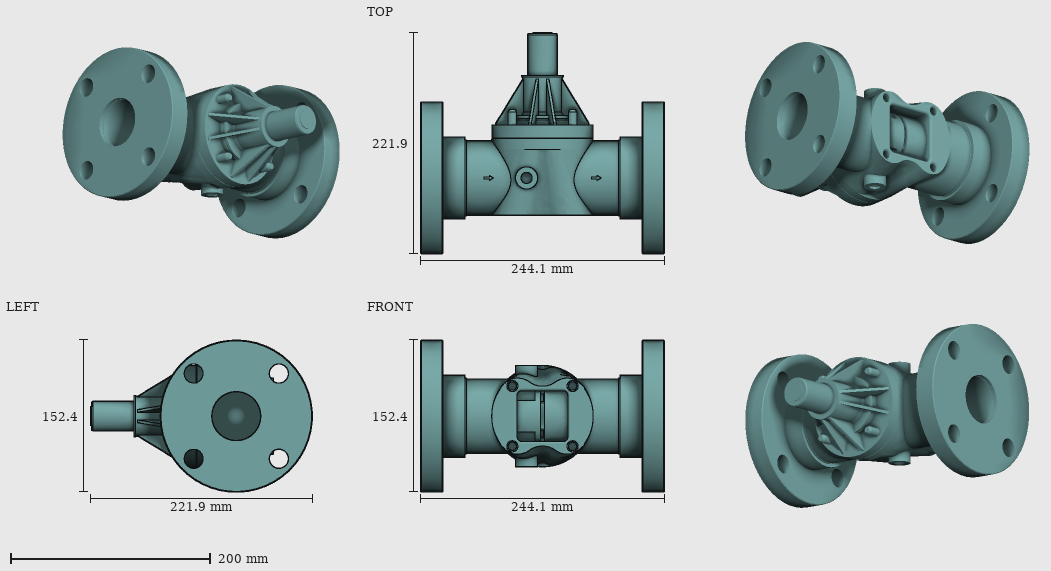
import cadquery as cq
import math


FACE_TO_FACE = 244.09
FLANGE_DIA = 152.4
FLANGE_THICKNESS = 22.35
FLANGE_CHAMFER = 0.8
BOLT_CIRCLE_DIA = 120.65
BOLT_HOLE_DIA = 18.92
BOLT_COUNT = 4
FIRST_BOLT_ANGLE = 45.0
HUB_DIA = 82.4
HUB_LENGTH = 22.0
PIPE_DIA = 74.85
COLLAR_DIA = 76.2
COLLAR_LENGTH = 1.5
MOUTH_DIA = 49.25
MOUTH_DEPTH = 5.2
BORE_DIA = 48.59
BORE_END = 4.0

BODY_DIA = 101.6
PLATE_Y = -PIPE_DIA / 2
DISC_FRONT_Y = 28.6
DISC_JOINT_Y = 39.5
DISC_BACK_Y = 53.2
JOINT_GROOVE_WIDTH = 0.6
JOINT_GROOVE_DEPTH = 0.4
SCREW_OFFSET = 30.16
PLATE_CORNER_RADIUS = 20.0
PLATE_CORNER_TOP_Z = 38.1
NECK_SIDE_END_X = 17.5
NECK_CORNER_Z = 48.9
NECK_WAIST_HALF_WIDTH = 2.0
NECK_WAIST_Z = 46.9
NECK_WAIST_DIP = 0.1
PLATE_WAIST_Z = 29.9
SCREW_HOLE_DIA = 8.38
SCREW_MOUTH_DIA = 11.11
SCREW_HOLE_DEPTH = 14.0
SCREW_MOUTH_TAPER = 45.0

WINDOW_SIZE = 50.8
WINDOW_CORNER_RADIUS = 5.0
WINDOW_RIM_RADIUS = 2.6
RIM_SEARCH_MARGIN = 0.5
SEAT_DIA = 60.33
SLOT_WIDTH = 4.2
SLOT_FLOOR_Y = -12.0
GATE_DIA = 50.0
GATE_THICKNESS = 2.9
GATE_NOSE_Y = -25.2
GATE_NOSE_HALF_HEIGHT = 13.0
GATE_NOSE_BEVEL = 1.5
FLAT_START_X = -7.5
FLAT_START_Z = 15.9
FLAT_DISTANCE = 25.0
FLAT_ANGLE = 30.0

PORT_X = -15.9
PORT_DIA = 22.23
PORT_ROOT_Z = 26.0
PORT_TOP_Z = BODY_DIA / 2
PORT_HOLE_DIA = 11.11
PORT_HOLE_DEPTH = 10.0
DRILL_POINT_ANGLE = 118.0

RING_DIA = 60.33
RING_TOP_Y = 62.4
RING_GROOVE_Y = 57.9
RING_GROOVE_WIDTH = 1.8
RING_GROOVE_DEPTH = 0.6
NECK_DIA = 40.3
FLARE_DIA = 43.6
FLARE_HEIGHT = 3.4
CAP_DIA = 41.66
CAP_BOTTOM_Y = 100.8
CAP_TOP_Y = 102.6
STEM_DIA = 29.97
STEM_TOP_Y = 144.8
STEM_CHAMFER = 1.6
STEM_SHOULDER = 0.8
TIP_DIA = 18.92
TIP_TOP_Y = 145.72
PEG_DIA = 8.38
PEG_TIP_DIA = 5.84
PEG_TOP_Y = 68.5
PEG_CHAMFER = 2.6
RIB_THICKNESS = 2.8
RIB_TOP_Y = 99.0
RIB_FOOT_RADIUS = 48.1
RIB_FOOT_HEIGHT = 1.6
RIB_HALF_ANGLE = 15.0

ARROW_X = 54.0
ARROW_LENGTH = 9.5
ARROW_HEAD_LENGTH = 4.0
ARROW_HEAD_WIDTH = 5.0
ARROW_SHAFT_WIDTH = 2.0
ARROW_DEPTH = 0.4


def x_cylinder(diameter, x_start, x_end):
    return cq.Workplane("YZ", origin=(x_start, 0, 0)).circle(diameter / 2).extrude(x_end - x_start)


def y_cylinder(diameter, y_start, y_end, x=0, z=0):
    return cq.Workplane("XZ", origin=(x, y_start, z)).circle(diameter / 2).extrude(y_start - y_end)


def y_ring_groove(diameter, depth, y_start, width):
    outer = y_cylinder(diameter + depth, y_start, y_start + width)
    return outer.cut(y_cylinder(diameter - 2 * depth, y_start, y_start + width))


def screw_positions():
    return [(sx * SCREW_OFFSET, sz * SCREW_OFFSET) for sx in (-1, 1) for sz in (-1, 1)]


def pipe_end():
    """The -X half of the pipe run: flange, hub, weld collar and pipe."""
    face_x = -FACE_TO_FACE / 2
    hub_start = face_x + FLANGE_THICKNESS
    hub_end = hub_start + HUB_LENGTH
    flange = x_cylinder(FLANGE_DIA, face_x, hub_start).edges().chamfer(FLANGE_CHAMFER)
    holes = (
        cq.Workplane("YZ", origin=(face_x, 0, 0))
        .polarArray(BOLT_CIRCLE_DIA / 2, FIRST_BOLT_ANGLE, 360, BOLT_COUNT)
        .circle(BOLT_HOLE_DIA / 2)
        .extrude(FLANGE_THICKNESS)
    )
    hub = x_cylinder(HUB_DIA, hub_start, hub_end)
    collar = x_cylinder(COLLAR_DIA, hub_end, hub_end + COLLAR_LENGTH)
    pipe = x_cylinder(PIPE_DIA, hub_end, 0)
    return flange.cut(holes).union(hub).union(collar).union(pipe)


def bore():
    """The -X half of the flow passage, closed by the gate."""
    face_x = -FACE_TO_FACE / 2
    mouth = x_cylinder(MOUTH_DIA, face_x, face_x + MOUTH_DEPTH)
    return mouth.union(x_cylinder(BORE_DIA, face_x, -BORE_END))


def plate_corner_centre():
    """Centre, in the +X +Z quarter, of the corner arc that touches the plate's round side inside."""
    z = PLATE_CORNER_TOP_Z - PLATE_CORNER_RADIUS
    distance = BODY_DIA / 2 - PLATE_CORNER_RADIUS
    return math.sqrt(distance**2 - z**2), z


def eight_arc_wire(y, side_middle, side_end, corner_middle, corner_end, waist_middle):
    """Closed wire of two sides, four corners and two waists, from its points in the +X +Z quarter."""
    wire = cq.Workplane("XZ", origin=(0, y, 0)).moveTo(-side_end[0], -side_end[1])
    for turn in (1, -1):

        def left(point):
            return (-turn * point[0], turn * point[1])

        def right(point):
            return (turn * point[0], turn * point[1])

        wire = wire.threePointArc(left(side_middle), left(side_end))
        wire = wire.threePointArc(left(corner_middle), left(corner_end))
        wire = wire.threePointArc(right(waist_middle), right(corner_end))
        wire = wire.threePointArc(right(corner_middle), right(side_end))
    return wire.wire().val()


def neck_top_wire():
    """Outline of the neck at the body disc: round sides with slightly lowered tops."""
    radius = BODY_DIA / 2
    side_end = (NECK_SIDE_END_X, math.sqrt(radius**2 - NECK_SIDE_END_X**2))
    corner_middle = ((NECK_SIDE_END_X + NECK_WAIST_HALF_WIDTH) / 2, NECK_CORNER_Z)
    corner_end = (NECK_WAIST_HALF_WIDTH, NECK_WAIST_Z)
    waist_middle = (0, NECK_WAIST_Z - NECK_WAIST_DIP)
    return eight_arc_wire(DISC_FRONT_Y, (radius, 0), side_end, corner_middle, corner_end, waist_middle)


def plate_wire():
    """Outline of the front plate: round sides, large corner arcs, waisted top and bottom."""
    centre_x, centre_z = plate_corner_centre()
    rise = PLATE_WAIST_Z - centre_z
    waist_radius = (centre_x**2 + rise**2 - PLATE_CORNER_RADIUS**2) / (2 * (PLATE_CORNER_RADIUS - rise))
    start_angle = math.atan2(centre_z, centre_x)
    end_angle = math.atan2(rise + waist_radius, -centre_x)

    def corner_point(angle):
        x = centre_x + PLATE_CORNER_RADIUS * math.cos(angle)
        return (x, centre_z + PLATE_CORNER_RADIUS * math.sin(angle))

    return eight_arc_wire(
        PLATE_Y,
        (BODY_DIA / 2, 0),
        corner_point(start_angle),
        corner_point((start_angle + end_angle) / 2),
        corner_point(end_angle),
        (0, PLATE_WAIST_Z),
    )


def body():
    disc = y_cylinder(BODY_DIA, DISC_FRONT_Y, DISC_BACK_Y)
    groove = y_ring_groove(BODY_DIA, JOINT_GROOVE_DEPTH, DISC_JOINT_Y, JOINT_GROOVE_WIDTH)
    neck = cq.Solid.makeLoft([neck_top_wire(), plate_wire()], True)
    return disc.union(cq.Workplane(obj=neck)).cut(groove)


def cut_window(part):
    """Square opening from the front plate to the axis, with a rounded rim."""
    opening = (
        cq.Workplane("XZ", origin=(0, PLATE_Y, 0))
        .rect(WINDOW_SIZE, WINDOW_SIZE)
        .extrude(PLATE_Y)
        .edges("|Y")
        .fillet(WINDOW_CORNER_RADIUS)
    )
    reach = WINDOW_SIZE / 2 + RIM_SEARCH_MARGIN
    low_corner = (-reach, PLATE_Y - RIM_SEARCH_MARGIN, -reach)
    high_corner = (reach, PLATE_Y + RIM_SEARCH_MARGIN, reach)
    rim = cq.selectors.BoxSelector(low_corner, high_corner, boundingbox=True)
    return part.cut(opening).edges(rim).fillet(WINDOW_RIM_RADIUS)


def seat_flat():
    """Cutter for the upper sloping flat on the -X seat tube."""
    length = WINDOW_SIZE / 2 + FLAT_START_X
    angle = math.radians(FLAT_ANGLE)

    def flat_y(z):
        return -(FLAT_DISTANCE - z * math.sin(angle)) / math.cos(angle)

    end_z = WINDOW_SIZE / 2
    return (
        cq.Workplane("YZ", origin=(-WINDOW_SIZE / 2, 0, 0))
        .moveTo(PLATE_Y, FLAT_START_Z)
        .lineTo(flat_y(FLAT_START_Z), FLAT_START_Z)
        .lineTo(flat_y(end_z), end_z)
        .lineTo(PLATE_Y, end_z)
        .close()
        .extrude(length)
    )


def seats():
    """Tube across the window, slotted at the middle for the gate."""
    tube = x_cylinder(SEAT_DIA, -WINDOW_SIZE / 2, WINDOW_SIZE / 2)
    slot_depth = SLOT_FLOOR_Y - PLATE_Y
    slot = cq.Workplane("XY").box(SLOT_WIDTH, slot_depth, WINDOW_SIZE)
    slot = slot.translate((0, (SLOT_FLOOR_Y + PLATE_Y) / 2, 0))
    return tube.cut(slot).cut(seat_flat()).cut(seat_flat().mirror("XY"))


def gate():
    """Round gate plate with a full-width nose at its front."""
    slot_start = -SLOT_WIDTH / 2
    plate = x_cylinder(GATE_DIA, slot_start, slot_start + GATE_THICKNESS)
    root_z = GATE_NOSE_HALF_HEIGHT + GATE_NOSE_BEVEL
    bevel_y = GATE_NOSE_Y + GATE_NOSE_BEVEL
    nose = (
        cq.Workplane("YZ", origin=(slot_start, 0, 0))
        .moveTo(SLOT_FLOOR_Y, -root_z)
        .lineTo(bevel_y, -root_z)
        .lineTo(GATE_NOSE_Y, -GATE_NOSE_HALF_HEIGHT)
        .lineTo(GATE_NOSE_Y, GATE_NOSE_HALF_HEIGHT)
        .lineTo(bevel_y, root_z)
        .lineTo(SLOT_FLOOR_Y, root_z)
        .close()
        .extrude(SLOT_WIDTH)
    )
    return plate.union(nose)


def screw_hole(x, z):
    mouth_chamfer = (SCREW_MOUTH_DIA - SCREW_HOLE_DIA) / 2
    hole = y_cylinder(SCREW_HOLE_DIA, PLATE_Y, PLATE_Y + SCREW_HOLE_DEPTH, x, z)
    mouth = cq.Workplane("XZ", origin=(x, PLATE_Y, z)).circle(SCREW_MOUTH_DIA / 2)
    return hole.union(mouth.extrude(-mouth_chamfer, taper=SCREW_MOUTH_TAPER))


def port_boss():
    """Sensing port boss on the +Z side."""
    boss = cq.Workplane("XY", origin=(PORT_X, 0, PORT_ROOT_Z)).circle(PORT_DIA / 2)
    return boss.extrude(PORT_TOP_Z - PORT_ROOT_Z)


def port_hole():
    """Drilled hole of the +Z sensing port, with a conical bottom."""
    radius = PORT_HOLE_DIA / 2
    point_depth = radius / math.tan(math.radians(DRILL_POINT_ANGLE / 2))
    return (
        cq.Workplane("XZ", origin=(PORT_X, 0, PORT_TOP_Z))
        .lineTo(radius, 0)
        .lineTo(radius, -PORT_HOLE_DEPTH)
        .lineTo(0, -PORT_HOLE_DEPTH - point_depth)
        .close()
        .revolve(360, (0, 0, 0), (0, 1, 0))
    )


def peg(x, z):
    inset = (PEG_DIA - PEG_TIP_DIA) / 2
    shank = y_cylinder(PEG_DIA, DISC_BACK_Y, PEG_TOP_Y, x, z)
    return shank.faces(">Y").chamfer(PEG_CHAMFER, inset)


def rib(angle):
    """Triangular web between the neck and the disc, turned about the stem axis."""
    web = (
        cq.Workplane("XY", origin=(0, 0, -RIB_THICKNESS / 2))
        .moveTo(0, DISC_BACK_Y)
        .lineTo(RIB_FOOT_RADIUS, DISC_BACK_Y)
        .lineTo(RIB_FOOT_RADIUS, DISC_BACK_Y + RIB_FOOT_HEIGHT)
        .lineTo(NECK_DIA / 2, RIB_TOP_Y)
        .lineTo(0, RIB_TOP_Y)
        .close()
        .extrude(RIB_THICKNESS)
    )
    return web.rotate((0, 0, 0), (0, 1, 0), angle)


def bonnet():
    """Base ring, flared neck, capped stem, pegs and four pairs of ribs."""
    ring = y_cylinder(RING_DIA, DISC_BACK_Y, RING_TOP_Y)
    ring = ring.cut(y_ring_groove(RING_DIA, RING_GROOVE_DEPTH, RING_GROOVE_Y, RING_GROOVE_WIDTH))
    flare_inset = (FLARE_DIA - NECK_DIA) / 2
    flare = y_cylinder(FLARE_DIA, DISC_BACK_Y, RING_TOP_Y + FLARE_HEIGHT)
    flare = flare.faces(">Y").chamfer(FLARE_HEIGHT, flare_inset)
    stem = y_cylinder(STEM_DIA, DISC_BACK_Y, STEM_TOP_Y).faces(">Y").chamfer(STEM_CHAMFER, STEM_SHOULDER)
    part = ring.union(flare).union(stem)
    part = part.union(y_cylinder(NECK_DIA, DISC_BACK_Y, CAP_BOTTOM_Y))
    part = part.union(y_cylinder(CAP_DIA, CAP_BOTTOM_Y, CAP_TOP_Y))
    part = part.union(y_cylinder(TIP_DIA, DISC_BACK_Y, TIP_TOP_Y))
    for x, z in screw_positions():
        part = part.union(peg(x, z))
    for quarter_turn in range(0, 360, 90):
        for offset in (-RIB_HALF_ANGLE, RIB_HALF_ANGLE):
            part = part.union(rib(quarter_turn + offset))
    return part


def arrow(x):
    """Engraved flow arrow on the top of the pipe, pointing to +X."""
    head_x = ARROW_LENGTH / 2 - ARROW_HEAD_LENGTH
    half_shaft = ARROW_SHAFT_WIDTH / 2
    half_head = ARROW_HEAD_WIDTH / 2
    return (
        cq.Workplane("XY", origin=(x, 0, PIPE_DIA / 2 - ARROW_DEPTH))
        .moveTo(-ARROW_LENGTH / 2, -half_shaft)
        .lineTo(head_x, -half_shaft)
        .lineTo(head_x, -half_head)
        .lineTo(ARROW_LENGTH / 2, 0)
        .lineTo(head_x, half_head)
        .lineTo(head_x, half_shaft)
        .lineTo(-ARROW_LENGTH / 2, half_shaft)
        .close()
        .extrude(2 * ARROW_DEPTH)
    )


result = pipe_end()
result = result.union(result.mirror("YZ")).union(body()).union(bonnet())
result = cut_window(result).union(seats()).union(gate())
for boss in (port_boss(), port_boss().mirror("XY")):
    result = result.union(boss)
for cutter in (bore(), bore().mirror("YZ"), port_hole(), port_hole().mirror("XY")):
    result = result.cut(cutter)
for x, z in screw_positions():
    result = result.cut(screw_hole(x, z))
for x in (-ARROW_X, ARROW_X):
    result = result.cut(arrow(x))